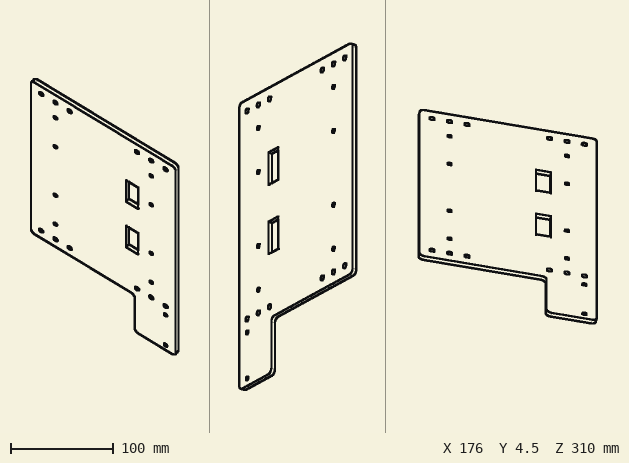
import cadquery as cq

overall_height = 310.0
plate_width = 176.0
plate_thickness = 4.5
panel_height = 250.0
tab_width = 50.0
corner_radius = 5.0

mount_hole_diameter = 5.0
mount_row_spacing = 225.0
mount_column_offset = 58.3
mount_column_pitch = 17.5

small_hole_diameter = 4.0
outer_small_row_spacing = 175.0
inner_small_row_spacing = 80.0

tab_hole_diameter = 4.0
tab_hole_spacing = 50.0
tab_hole_bottom_margin = 8.0

window_width = 15.0
window_height = 35.0
window_offset = 35.0
window_spacing = 75.0

right = plate_width / 2
left = -right
panel_top = panel_height / 2
panel_bottom = -panel_top
tab_left = right - tab_width
tab_bottom = panel_top - overall_height


def mirrored_rows(columns, row_spacing):
    """Points on each column at two rows placed evenly about the panel centre."""
    return [(x, z) for x in columns for z in (-row_spacing / 2, row_spacing / 2)]


def make_plate():
    """L-shaped plate with every corner rounded, including the inner one."""
    outline = [
        (left, panel_top),
        (right, panel_top),
        (right, tab_bottom),
        (tab_left, tab_bottom),
        (tab_left, panel_bottom),
        (left, panel_bottom),
    ]
    plate = cq.Workplane("XZ").polyline(outline).close().extrude(plate_thickness / 2, both=True)
    return plate.edges("|Y").fillet(corner_radius)


def through_cutters(points):
    """Workplane holding the given (x, z) points, ready to sketch cutter profiles."""
    return cq.Workplane("XZ").pushPoints(points)


def round_cutters(points, diameter):
    return through_cutters(points).circle(diameter / 2).extrude(plate_thickness, both=True)


def window_cutters(points):
    profile = through_cutters(points).rect(window_width, window_height)
    return profile.extrude(plate_thickness, both=True)


middle_columns = [-mount_column_offset, mount_column_offset]
mount_columns = [
    column + step * mount_column_pitch
    for column in middle_columns
    for step in (-1, 0, 1)
]
mount_points = mirrored_rows(mount_columns, mount_row_spacing)

small_points = (
    mirrored_rows(middle_columns, outer_small_row_spacing)
    + mirrored_rows(middle_columns, inner_small_row_spacing)
)

tab_hole_x = mount_column_offset + mount_column_pitch
lower_tab_hole_z = tab_bottom + tab_hole_bottom_margin
tab_points = [
    (tab_hole_x, lower_tab_hole_z),
    (tab_hole_x, lower_tab_hole_z + tab_hole_spacing),
]

window_points = mirrored_rows([window_offset], window_spacing)

result = (
    make_plate()
    .cut(round_cutters(mount_points, mount_hole_diameter))
    .cut(round_cutters(small_points, small_hole_diameter))
    .cut(round_cutters(tab_points, tab_hole_diameter))
    .cut(window_cutters(window_points))
)